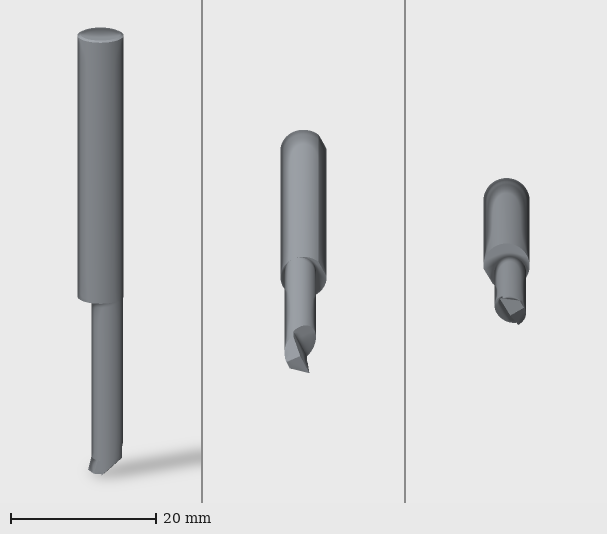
import cadquery as cq

total_length = 63.5
shank_diameter = 6.35
shank_length = 38.1
shank_flat_y = 2.9
end_chamfer_width = 0.4
end_chamfer_height = 0.2

neck_diameter = 4.3
shank_radius = shank_diameter / 2
neck_radius = neck_diameter / 2
neck_x = shank_radius - neck_radius
neck_length = total_length - shank_length

relief_end_z = 3.9
relief_start_z = relief_end_z + neck_radius

tip_x = -1.85
tip_top_x = -1.3
tip_top_z = 2.3
tip_base_z = 0.2
side_clearance = 1.7
end_clearance = 0.2


def make_shank():
    shank = (
        cq.Workplane("XY")
        .workplane(offset=neck_length)
        .circle(shank_radius)
        .extrude(shank_length)
        .faces(">Z")
        .chamfer(end_chamfer_height, end_chamfer_width)
    )
    flat_cut = cq.Workplane("XY").box(
        shank_diameter, shank_diameter, total_length, centered=(True, False, False)
    )
    return shank.cut(flat_cut.translate((0, shank_flat_y, 0)))


def make_neck():
    """Round neck with the tip seat, 45 degree end chamfer and half-round relief removed."""
    neck = cq.Workplane("XY").center(neck_x, 0).circle(neck_radius).extrude(neck_length)
    chamfer_top_z = tip_base_z + shank_radius - neck_x
    tip_seat = (
        cq.Workplane("XZ")
        .moveTo(-shank_radius, tip_top_z)
        .lineTo(neck_x, tip_top_z)
        .lineTo(neck_x, tip_base_z)
        .lineTo(shank_radius, chamfer_top_z)
        .lineTo(shank_radius, 0)
        .lineTo(-shank_radius, 0)
        .close()
        .extrude(shank_radius, both=True)
    )
    half_relief = (
        cq.Workplane("YZ")
        .moveTo(0, 0)
        .lineTo(0, relief_end_z)
        .lineTo(neck_radius, relief_start_z)
        .lineTo(neck_radius, 0)
        .close()
        .extrude(shank_radius, both=True)
    )
    return neck.cut(tip_seat).cut(half_relief)


def tip_outline(flank_shift, rise):
    """Corners of a tip section, with its flank shifted and its lower face raised."""
    lower_slope = tip_base_z / (neck_x - tip_x)
    flank_x = tip_x + flank_shift
    return [
        (flank_x, lower_slope * flank_shift + rise),
        (neck_x, tip_base_z + rise),
        (neck_x, tip_top_z),
        (tip_top_x + flank_shift, tip_top_z),
    ]


def make_tip():
    return (
        cq.Workplane("XZ")
        .polyline(tip_outline(0, 0))
        .close()
        .workplane(offset=neck_radius)
        .polyline(tip_outline(side_clearance, end_clearance))
        .close()
        .loft(ruled=True)
    )


result = make_shank().union(make_neck()).union(make_tip())